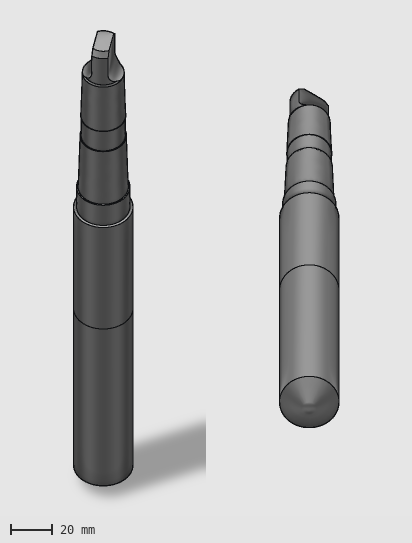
import cadquery as cq
import math

total_length = 296
joint_z = 114.8
body_top_z = 183.5
collar_top_z = 197.0
groove_bottom_z = 231.8
groove_top_z = 245.0
shank_top_z = 274.5
tang_flat_bottom_z = 281.5

body_diameter = 28.7
collar_diameter = 25.8
taper_large_diameter = 24.3
groove_diameter = 21.3
tang_diameter = 19.0

taper_rate = 0.052

point_angle = 118

tang_thickness = 8.0
tang_angle = 8.6
tang_top_diameter = 14.2
tang_cone_height = 0.3
tang_bevel_height = 2.7
tang_runout_radius = 7.0
shoulder_chamfer = 1.0


def taper_radius(z):
    """Radius of the tapered shank at height z."""
    return (taper_large_diameter - taper_rate * (z - collar_top_z)) / 2


def make_drill_body():
    """Cylindrical cutting body with a conical point at the bottom."""
    radius = body_diameter / 2
    point_height = radius / math.tan(math.radians(point_angle / 2))
    outline = [(0, 0), (radius, point_height), (radius, joint_z), (0, joint_z)]
    return cq.Workplane("XZ").polyline(outline).close().revolve(360, (0, 0), (0, 1))


def make_shank_blank():
    """Turned shank: body, collar, grooved taper and round tang with a shallow conical end."""
    body_radius = body_diameter / 2
    collar_radius = collar_diameter / 2
    groove_radius = groove_diameter / 2
    tang_radius = tang_diameter / 2
    tang_cone_z = total_length - tang_cone_height
    shank_top_radius = taper_radius(shank_top_z)
    outline = [
        (0, joint_z),
        (body_radius, joint_z),
        (body_radius, body_top_z),
        (collar_radius, body_top_z),
        (collar_radius, collar_top_z),
        (taper_radius(collar_top_z), collar_top_z),
        (taper_radius(groove_bottom_z), groove_bottom_z),
        (groove_radius, groove_bottom_z),
        (groove_radius, groove_top_z),
        (taper_radius(groove_top_z), groove_top_z),
        (shank_top_radius, shank_top_z),
        (tang_radius, shank_top_z + shoulder_chamfer),
        (tang_radius, tang_cone_z - tang_bevel_height),
        (tang_top_diameter / 2, tang_cone_z),
        (0, total_length),
    ]
    return cq.Workplane("XZ").polyline(outline).close().revolve(360, (0, 0), (0, 1))


def make_tang_cutter(side):
    """Material beside one tang flat, with a round run-out; side is +1 or -1."""
    flat_x = side * tang_thickness / 2
    outer_x = flat_x + side * tang_runout_radius
    runout_bottom_z = tang_flat_bottom_z - tang_runout_radius
    arc_offset = tang_runout_radius * math.sqrt(0.5)
    arc_middle = (outer_x - side * arc_offset, tang_flat_bottom_z - arc_offset)
    far_x = side * body_diameter / 2
    cutter = (
        cq.Workplane("XZ")
        .moveTo(flat_x, total_length)
        .lineTo(flat_x, tang_flat_bottom_z)
        .threePointArc(arc_middle, (outer_x, runout_bottom_z))
        .lineTo(far_x, runout_bottom_z)
        .lineTo(far_x, total_length)
        .close()
        .extrude(body_diameter / 2, both=True)
    )
    return cutter.rotate((0, 0, 0), (0, 0, 1), tang_angle)


def make_shank():
    """Morse taper shank with its two tang flats."""
    shank = make_shank_blank()
    for side in (-1, 1):
        shank = shank.cut(make_tang_cutter(side))
    return shank


drill_body = make_drill_body()
shank = make_shank()

result = cq.Compound.makeCompound([drill_body.val(), shank.val()])